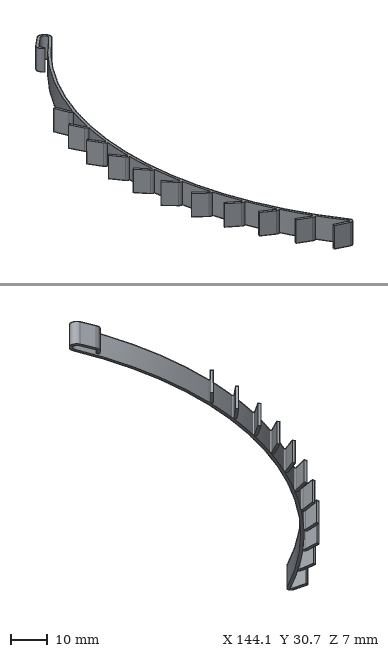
import cadquery as cq
import math

height = 7.0
thickness = 0.9

bow_radius = 109.2
bow_center_x = 0.7
bow_center_y = 98.5
hook_angle = -39.7

tooth_count = 11
first_tooth_angle = -15.6
last_tooth_angle = 39.64
tooth_pitch_angle = (last_tooth_angle - first_tooth_angle) / (tooth_count - 1)
tooth_bend_radius = 0.7
tooth_bend = 140
tooth_length = 4.8

hook_radius = 1.6
hook_return_length = 4.9
hook_lip_turn = 110


def bow_point(angle):
    """Point on the middle line of the bow; 0 degrees is its lowest point."""
    a = math.radians(angle)
    return (bow_center_x + bow_radius * math.sin(a), bow_center_y - bow_radius * math.cos(a))


def beside(point, heading, distance):
    """Point at a distance to the left of a heading, in degrees."""
    a = math.radians(heading)
    return (point[0] - distance * math.sin(a), point[1] + distance * math.cos(a))


def ahead(point, heading, distance):
    """Point at a distance straight ahead along a heading, in degrees."""
    a = math.radians(heading)
    return (point[0] + distance * math.cos(a), point[1] + distance * math.sin(a))


def straight(point, heading, length):
    """Straight ribbon stretch; returns it with the point and heading at its end."""
    end = ahead(point, heading, length)
    half = thickness / 2
    corners = [
        beside(point, heading, half),
        beside(end, heading, half),
        beside(end, heading, -half),
        beside(point, heading, -half),
    ]
    body = cq.Workplane("XY").polyline(corners).close().extrude(height)
    return body, end, heading


def bend(point, heading, radius, turn):
    """Curved ribbon stretch; a positive turn goes left, a negative one right."""
    to_center = math.copysign(radius, turn)
    center = beside(point, heading, to_center)
    middle_heading = heading + turn / 2
    end_heading = heading + turn

    def at(direction, offset):
        return beside(center, direction, offset - to_center)

    half = thickness / 2
    body = (
        cq.Workplane("XY")
        .moveTo(*at(heading, half))
        .threePointArc(at(middle_heading, half), at(end_heading, half))
        .lineTo(*at(end_heading, -half))
        .threePointArc(at(middle_heading, -half), at(heading, -half))
        .close()
        .extrude(height)
    )
    return body, at(end_heading, 0), end_heading


def make_bow():
    """Arc from the hook to the root of the last tooth."""
    body, _, _ = bend(bow_point(hook_angle), hook_angle, bow_radius, last_tooth_angle - hook_angle)
    return body


def make_hook():
    """Half-turn, straight return and inward lip."""
    half_turn, point, heading = bend(bow_point(hook_angle), hook_angle + 180, hook_radius, 180)
    back, point, heading = straight(point, heading, hook_return_length)
    lip, _, _ = bend(point, heading, hook_radius, hook_lip_turn)
    return half_turn.union(back).union(lip)


def make_tooth(angle):
    """Tooth that leaves the bow along its tangent and folds back outside it."""
    fold, point, heading = bend(bow_point(angle), angle, tooth_bend_radius, -tooth_bend)
    blade, _, _ = straight(point, heading, tooth_length)
    return fold.union(blade)


result = make_bow().union(make_hook())
for i in range(tooth_count):
    result = result.union(make_tooth(first_tooth_angle + i * tooth_pitch_angle))